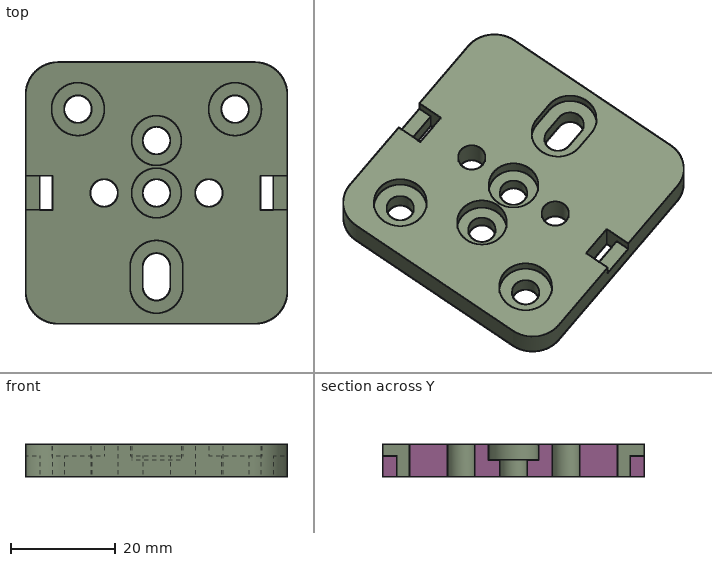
import cadquery as cq

side = 50.0
thickness = 6.25
corner_radius = 6.25

hole_diameter = 5.2
corner_hole_x = 15.0
mount_y = 16.0
centre_pitch = 10.0

large_bore_diameter = 10.1
large_bore_depth = 2.25

small_bore_diameter = 9.5
small_bore_depth = 3.0

slot_travel = 3.8

notch_width = 6.5
notch_length = 5.15
ledge_length = 2.75
ledge_depth = 2.25

corner_points = [(-corner_hole_x, mount_y), (corner_hole_x, mount_y)]
centre_points = [(0, 0), (0, centre_pitch)]
plain_points = [(-centre_pitch, 0), (centre_pitch, 0)]
slot_point = (0, -mount_y)


def make_plate():
    """Square plate with rounded vertical edges, resting on Z = 0."""
    plate = cq.Workplane("XY").box(side, side, thickness, centered=(True, True, False))
    return plate.edges("|Z").fillet(corner_radius)


def round_cut(points, diameter, depth):
    """Cylinders reaching down from the top face."""
    top = cq.Workplane("XY").workplane(offset=thickness)
    return top.pushPoints(points).circle(diameter / 2).extrude(-depth)


def slot_cut(width, depth):
    """Round-ended slot reaching down from the top face."""
    top = cq.Workplane("XY").workplane(offset=thickness).center(*slot_point)
    return top.slot2D(slot_travel + width, width, angle=90).extrude(-depth)


def notch_cut(direction):
    """Ledge and through window in the side facing direction (+1 or -1) along X."""
    top = cq.Workplane("XY").workplane(offset=thickness)
    edge_x = side / 2
    ledge_x = direction * (edge_x - notch_length / 2)
    ledge = top.center(ledge_x, 0).rect(notch_length, notch_width).extrude(-ledge_depth)
    window_length = notch_length - ledge_length
    window_x = direction * (edge_x - ledge_length - window_length / 2)
    window = top.center(window_x, 0).rect(window_length, notch_width).extrude(-thickness)
    return ledge.union(window)


result = make_plate()

result = result.cut(round_cut(corner_points + centre_points + plain_points, hole_diameter, thickness))
result = result.cut(slot_cut(hole_diameter, thickness))

result = result.cut(round_cut(corner_points, large_bore_diameter, large_bore_depth))
result = result.cut(round_cut(centre_points, small_bore_diameter, small_bore_depth))
result = result.cut(slot_cut(large_bore_diameter, large_bore_depth))

for direction in (-1, 1):
    result = result.cut(notch_cut(direction))